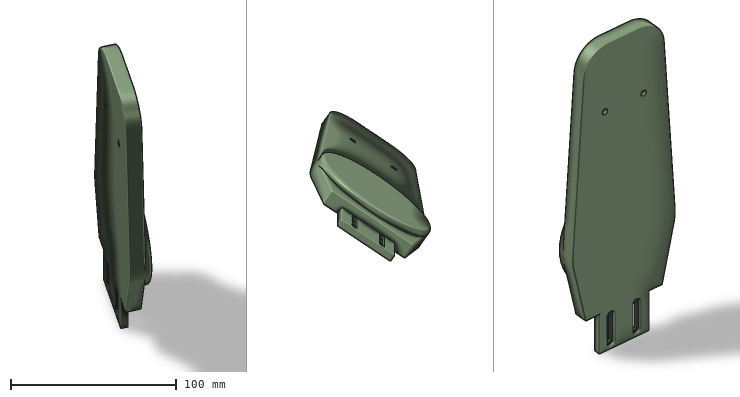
import cadquery as cq
import math

TOTAL_HEIGHT = 229.8
TOTAL_DEPTH = 14.2
DISC_DIAMETER = 80.0
DISC_RADIUS = DISC_DIAMETER / 2
DISC_CENTER_Z = 80.0
DISC_RIM_ROUND = 2.0

BLADE_THICKNESS = 10.0
BLADE_BOTTOM_HALF_WIDTH = 29.9
BLADE_EDGE_ROUND = 1.0
BLADE_CORNER_ROUND = 1.1
TOP_CORNER_RADIUS = 20.0
TOP_FLAT_HALF_WIDTH = 11.5

TAB_WIDTH = 39.0
TAB_HEIGHT = 29.5
TAB_THICKNESS = 4.8
TAB_EDGE_ROUND = 0.7
TAB_CORNER_ROUND = 1.0

SLOT_SPACING = 20.0
SLOT_CENTER_TRAVEL = 20.0
SLOT_CENTER_Z = 15.0
SLOT_WIDTH = 3.5
SLOT_RECESS_WIDTH = 6.0
SLOT_RECESS_DEPTH = 2.5
SLOT_MOUTH_ROUND = 0.5

HOLE_DIAMETER = 4.1
HOLE_SPACING = 30.0
HOLE_Z = 179.7


def plane_at(y):
    """XZ sketch plane at depth y; negative extrusion lengths run toward +Y."""
    return cq.Workplane(cq.Plane(origin=(0, y, 0), xDir=(1, 0, 0), normal=(0, -1, 0)))


def right_side_points():
    """Named points of the +X half of the blade outline, from bottom to top."""
    drop = DISC_CENTER_Z - TAB_HEIGHT
    reach = math.hypot(BLADE_BOTTOM_HALF_WIDTH, drop)
    low_angle = math.atan2(-drop, BLADE_BOTTOM_HALF_WIDTH) + math.acos(DISC_RADIUS / reach)

    rise = TOTAL_HEIGHT - TOP_CORNER_RADIUS - DISC_CENTER_Z
    span = math.hypot(TOP_FLAT_HALF_WIDTH, rise)
    radius_step = DISC_RADIUS - TOP_CORNER_RADIUS
    high_angle = math.atan2(rise, TOP_FLAT_HALF_WIDTH) - math.acos(radius_step / span)

    def on_disc(angle):
        return (DISC_RADIUS * math.cos(angle), DISC_CENTER_Z + DISC_RADIUS * math.sin(angle))

    def on_corner(angle):
        return (
            TOP_FLAT_HALF_WIDTH + TOP_CORNER_RADIUS * math.cos(angle),
            TOTAL_HEIGHT - TOP_CORNER_RADIUS + TOP_CORNER_RADIUS * math.sin(angle),
        )

    return {
        "bottom": (BLADE_BOTTOM_HALF_WIDTH, TAB_HEIGHT),
        "disc_low": on_disc(low_angle),
        "disc_mid": on_disc((low_angle + high_angle) / 2),
        "disc_high": on_disc(high_angle),
        "corner_low": on_corner(high_angle),
        "corner_mid": on_corner((high_angle + math.pi / 2) / 2),
        "corner_high": on_corner(math.pi / 2),
    }


def make_blade():
    right = right_side_points()
    left = {name: (-x, z) for name, (x, z) in right.items()}
    return (
        plane_at(0)
        .moveTo(*right["bottom"])
        .lineTo(*right["disc_low"])
        .threePointArc(right["disc_mid"], right["disc_high"])
        .lineTo(*right["corner_low"])
        .threePointArc(right["corner_mid"], right["corner_high"])
        .lineTo(*left["corner_high"])
        .threePointArc(left["corner_mid"], left["corner_low"])
        .lineTo(*left["disc_high"])
        .threePointArc(left["disc_mid"], left["disc_low"])
        .lineTo(*left["bottom"])
        .close()
        .extrude(-BLADE_THICKNESS)
        .faces("<Z")
        .edges("|Y")
        .fillet(BLADE_CORNER_ROUND)
        .faces("<Y or >Y")
        .edges()
        .fillet(BLADE_EDGE_ROUND)
    )


def make_disc():
    """Disc behind the blade; its wall continues the blade's tangent arcs."""
    start = BLADE_THICKNESS - BLADE_EDGE_ROUND
    return (
        plane_at(start)
        .center(0, DISC_CENTER_Z)
        .circle(DISC_RADIUS)
        .extrude(start - TOTAL_DEPTH)
        .faces(">Y")
        .edges()
        .fillet(DISC_RIM_ROUND)
        .rotate((0, 0, DISC_CENTER_Z), (0, 1, DISC_CENTER_Z), 180)
    )


def make_tab():
    overlap = 2 * BLADE_EDGE_ROUND
    return (
        plane_at(0)
        .center(0, (TAB_HEIGHT + overlap) / 2)
        .rect(TAB_WIDTH, TAB_HEIGHT + overlap)
        .extrude(-TAB_THICKNESS)
        .edges("|Y and <Z")
        .fillet(TAB_CORNER_ROUND)
        .faces("<Y or >Y")
        .edges("not >Z")
        .fillet(TAB_EDGE_ROUND)
    )


def cut_slots(body):
    def slots(width, depth):
        return (
            plane_at(0)
            .center(0, SLOT_CENTER_Z)
            .rarray(SLOT_SPACING, 2.3, 2, 1)
            .slot2D(SLOT_CENTER_TRAVEL + width, width, 90)
            .extrude(-depth)
        )

    through = slots(SLOT_WIDTH, TAB_THICKNESS)
    recesses = slots(SLOT_RECESS_WIDTH, SLOT_RECESS_DEPTH)

    half_x = SLOT_SPACING / 2 + SLOT_RECESS_WIDTH
    half_z = (SLOT_CENTER_TRAVEL + SLOT_RECESS_WIDTH) / 2 + SLOT_MOUTH_ROUND
    mouths = cq.selectors.BoxSelector(
        (-half_x, -SLOT_MOUTH_ROUND, SLOT_CENTER_Z - half_z),
        (half_x, SLOT_MOUTH_ROUND, SLOT_CENTER_Z + half_z),
    )
    return body.cut(through).cut(recesses).edges(mouths).fillet(SLOT_MOUTH_ROUND)


def cut_holes(body):
    holes = (
        plane_at(0)
        .center(0, HOLE_Z)
        .rarray(HOLE_SPACING, 2.3, 2, 1)
        .circle(HOLE_DIAMETER / 2)
        .extrude(-BLADE_THICKNESS)
    )
    return body.cut(holes)


body = make_blade().union(make_disc()).union(make_tab())
result = cut_holes(cut_slots(body))